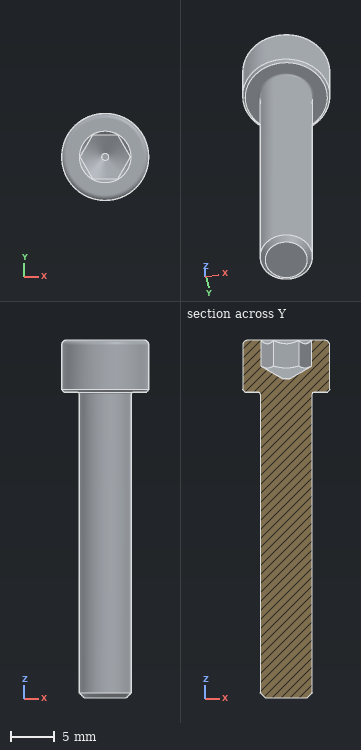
import cadquery as cq
import math

thread_diameter = 6.0
shank_length = 35.0
thread_length = 24.0
tip_chamfer = 0.6

head_diameter = 10.0
head_height = 6.0
head_top_fillet = 0.6
head_bottom_chamfer = 0.3
underhead_fillet = 0.25

hex_sides = 6
hex_width = 5.0
hex_depth = 3.0
mouth_diameter = 5.9
mouth_angle = 90.0
floor_angle = 120.0
floor_flat_diameter = 0.8

thread_radius = thread_diameter / 2
head_radius = head_diameter / 2
hex_corner_diameter = hex_width / math.cos(math.pi / hex_sides)


def cone_height(large_diameter, small_diameter, included_angle):
    """Height of a cone frustum from its end diameters and included angle."""
    return (large_diameter - small_diameter) / 2 / math.tan(math.radians(included_angle / 2))


def make_frustum(top_z, top_diameter, bottom_diameter, included_angle):
    """Cone frustum on the Z axis, narrowing downwards from top_z."""
    height = cone_height(top_diameter, bottom_diameter, included_angle)
    base_center = cq.Vector(0, 0, top_z - height)
    cone = cq.Solid.makeCone(bottom_diameter / 2, top_diameter / 2, height, base_center)
    return cq.Workplane(cone)


def make_screw_blank():
    """Head and shank revolved from one half profile, with the edge where the thread begins."""
    half_profile = (
        cq.Workplane("XZ")
        .moveTo(0, -shank_length)
        .lineTo(thread_radius - tip_chamfer, -shank_length)
        .lineTo(thread_radius, -shank_length + tip_chamfer)
        .lineTo(thread_radius, -shank_length + thread_length)
        .lineTo(thread_radius, -underhead_fillet)
        .radiusArc((thread_radius + underhead_fillet, 0), underhead_fillet)
        .lineTo(head_radius - head_bottom_chamfer, 0)
        .lineTo(head_radius, head_bottom_chamfer)
        .lineTo(head_radius, head_height - head_top_fillet)
        .radiusArc((head_radius - head_top_fillet, head_height), -head_top_fillet)
        .lineTo(0, head_height)
        .close()
    )
    return half_profile.revolve(axisStart=(0, 0, 0), axisEnd=(0, 1, 0), clean=False)


def make_socket():
    """Hexagon socket with a conical floor and a countersunk mouth."""
    floor_z = head_height - hex_depth
    hexagon = (
        cq.Workplane("XY")
        .workplane(offset=floor_z)
        .polygon(hex_sides, hex_corner_diameter)
        .extrude(hex_depth)
    )
    floor_cone = make_frustum(floor_z, hex_corner_diameter, floor_flat_diameter, floor_angle)
    hexagon_below = hexagon.translate((0, 0, -hex_depth))
    floor = floor_cone.intersect(hexagon_below)
    mouth = make_frustum(head_height, mouth_diameter, hex_width, mouth_angle)
    return hexagon.union(floor).union(mouth)


result = make_screw_blank().cut(make_socket(), clean=False)